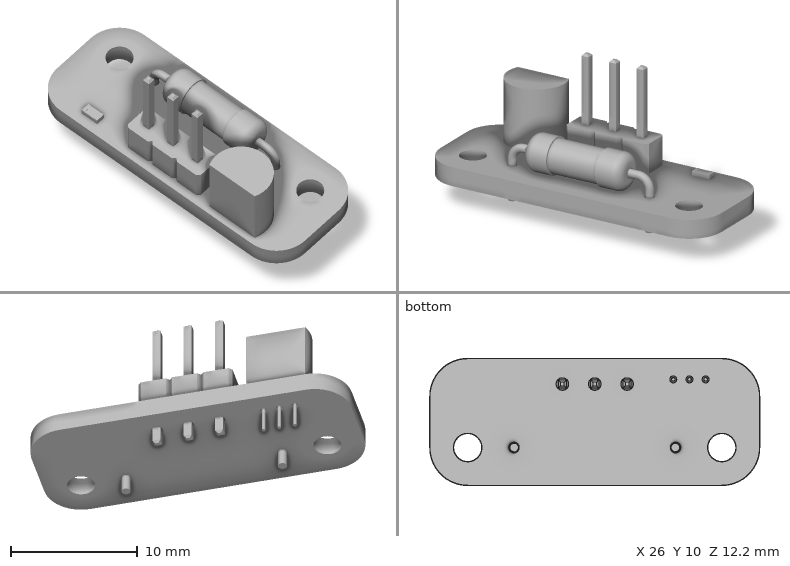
import cadquery as cq
import math


BOARD_LENGTH = 26.0
BOARD_WIDTH = 10.0
BOARD_THICKNESS = 1.6
CORNER_RADIUS = 3.0
MOUNT_HOLE_DIAMETER = 2.2
MOUNT_HOLE_X = BOARD_LENGTH / 2 - CORNER_RADIUS
MOUNT_HOLE_Y = BOARD_WIDTH / 2 - CORNER_RADIUS

TAIL_DEPTH = 3.0

RESISTOR_Y = MOUNT_HOLE_Y
RESISTOR_LENGTH = 9.0
RESISTOR_CAP_DIAMETER = 3.2
RESISTOR_CAP_LENGTH = RESISTOR_LENGTH / 4
RESISTOR_CAP_ROUND = 0.78
RESISTOR_BARREL_DIAMETER = 2.89
RESISTOR_AXIS_Z = RESISTOR_CAP_DIAMETER / 2
RESISTOR_LEAD_DIAMETER = 0.7
RESISTOR_LEAD_SPACING = 12.71
RESISTOR_LEAD_BEND = 1.05
RESISTOR_HOLE_DIAMETER = 0.8

PIN_COUNT = 3
PIN_PITCH = 2.55
HEADER_Y = -3.0
HOUSING_WIDTH = PIN_PITCH
HOUSING_HEIGHT = PIN_PITCH
HOUSING_CHAMFER = 0.25
PIN_SIDE = 0.65
PIN_TIP_CHAMFER = 0.18
PIN_TOP_Z = 8.55
PIN_HOLE_DIAMETER = 1.0
PIN_XS = [(i - (PIN_COUNT - 1) / 2) * PIN_PITCH for i in range(PIN_COUNT)]

TRANSISTOR_X = 7.45
TRANSISTOR_Y = -3.35
TRANSISTOR_DIAMETER = 5.2
TRANSISTOR_FLAT_OFFSET = 1.07
TRANSISTOR_HEIGHT = 5.33
TRANSISTOR_LEAD_COUNT = 3
TRANSISTOR_LEAD_PITCH = PIN_PITCH / 2
TRANSISTOR_LEAD_DIAMETER = 0.29
TRANSISTOR_LEAD_DEPTH = 3.65
TRANSISTOR_HOLE_DIAMETER = 0.55
TRANSISTOR_LEAD_POINTS = [
    (TRANSISTOR_X + (i - (TRANSISTOR_LEAD_COUNT - 1) / 2) * TRANSISTOR_LEAD_PITCH, TRANSISTOR_Y)
    for i in range(TRANSISTOR_LEAD_COUNT)
]

CHIP_X = -7.77
CHIP_Y = -3.72
CHIP_LENGTH = 1.6
CHIP_WIDTH = 0.8
CHIP_HEIGHT = 0.45
CHIP_TERMINAL_LENGTH = 0.3
CHIP_TERMINAL_STEP = 0.03


def drill(body, points, diameter):
    """Cut round holes straight through the board thickness at the given points."""
    holes = (
        cq.Workplane("XY")
        .pushPoints(points)
        .circle(diameter / 2)
        .extrude(-BOARD_THICKNESS)
    )
    return body.cut(holes)


def make_board():
    board = (
        cq.Workplane("XY")
        .rect(BOARD_LENGTH, BOARD_WIDTH)
        .extrude(-BOARD_THICKNESS)
        .edges("|Z")
        .fillet(CORNER_RADIUS)
    )
    board = drill(board, [(side * MOUNT_HOLE_X, MOUNT_HOLE_Y) for side in (-1, 1)], MOUNT_HOLE_DIAMETER)
    lead_points = [(side * RESISTOR_LEAD_SPACING / 2, RESISTOR_Y) for side in (-1, 1)]
    board = drill(board, lead_points, RESISTOR_HOLE_DIAMETER)
    board = drill(board, [(x, HEADER_Y) for x in PIN_XS], PIN_HOLE_DIAMETER)
    return drill(board, TRANSISTOR_LEAD_POINTS, TRANSISTOR_HOLE_DIAMETER)


def make_resistor_profile():
    """Half outline of the barrel and its end caps, to be revolved about the resistor's axis."""
    end_x = RESISTOR_LENGTH / 2
    cap_x = end_x - RESISTOR_CAP_LENGTH
    round_x = end_x - RESISTOR_CAP_ROUND
    cap_radius = RESISTOR_CAP_DIAMETER / 2
    barrel_radius = RESISTOR_BARREL_DIAMETER / 2
    face_radius = cap_radius - RESISTOR_CAP_ROUND
    arc_reach = RESISTOR_CAP_ROUND * math.sqrt(0.5)
    arc_mid_x = round_x + arc_reach
    arc_mid_radius = face_radius + arc_reach
    return (
        cq.Workplane("XZ", origin=(0, RESISTOR_Y, RESISTOR_AXIS_Z))
        .moveTo(-end_x, 0)
        .lineTo(-end_x, face_radius)
        .threePointArc((-arc_mid_x, arc_mid_radius), (-round_x, cap_radius))
        .lineTo(-cap_x, cap_radius)
        .lineTo(-cap_x, barrel_radius)
        .lineTo(cap_x, barrel_radius)
        .lineTo(cap_x, cap_radius)
        .lineTo(round_x, cap_radius)
        .threePointArc((arc_mid_x, arc_mid_radius), (end_x, face_radius))
        .lineTo(end_x, 0)
        .close()
    )


def make_resistor_lead(side):
    """Wire from the end face of the resistor (side -1 or 1) that bends down through the board."""
    foot_x = RESISTOR_LEAD_SPACING / 2
    bend_x = foot_x - RESISTOR_LEAD_BEND
    bend_z = RESISTOR_AXIS_Z - RESISTOR_LEAD_BEND
    arc_reach = RESISTOR_LEAD_BEND * math.sqrt(0.5)
    path = (
        cq.Workplane("XZ", origin=(0, RESISTOR_Y, 0))
        .moveTo(side * foot_x, -TAIL_DEPTH)
        .lineTo(side * foot_x, bend_z)
        .threePointArc((side * (bend_x + arc_reach), bend_z + arc_reach), (side * bend_x, RESISTOR_AXIS_Z))
        .lineTo(side * RESISTOR_LENGTH / 2, RESISTOR_AXIS_Z)
    )
    return (
        cq.Workplane("XY", origin=(side * foot_x, RESISTOR_Y, -TAIL_DEPTH))
        .circle(RESISTOR_LEAD_DIAMETER / 2)
        .sweep(path)
    )


def make_resistor():
    resistor = make_resistor_profile().revolve(360, (0, 0, 0), (1, 0, 0))
    for side in (-1, 1):
        resistor = resistor.union(make_resistor_lead(side))
    return resistor


def make_pin(x):
    """Square header pin with both tips chamfered."""
    return (
        cq.Workplane("XY", origin=(x, HEADER_Y, -TAIL_DEPTH))
        .rect(PIN_SIDE, PIN_SIDE)
        .extrude(TAIL_DEPTH + PIN_TOP_Z)
        .faces("<Z or >Z")
        .edges()
        .chamfer(PIN_TIP_CHAMFER)
    )


def make_pin_housing():
    """Row of chamfered square cells, with a square hole through each for its pin."""
    housing = (
        cq.Workplane("XY", origin=(0, HEADER_Y, 0))
        .rect(PIN_COUNT * PIN_PITCH, HOUSING_WIDTH)
        .extrude(HOUSING_HEIGHT)
        .edges("|Z")
        .chamfer(HOUSING_CHAMFER)
    )
    notch_points = [
        (x + PIN_PITCH / 2, HEADER_Y + side * HOUSING_WIDTH / 2)
        for x in PIN_XS[:-1]
        for side in (-1, 1)
    ]
    notches = (
        cq.Workplane("XY")
        .pushPoints(notch_points)
        .polygon(4, 2 * HOUSING_CHAMFER)
        .extrude(HOUSING_HEIGHT)
    )
    pin_holes = (
        cq.Workplane("XY")
        .pushPoints([(x, HEADER_Y) for x in PIN_XS])
        .rect(PIN_SIDE, PIN_SIDE)
        .extrude(HOUSING_HEIGHT)
    )
    return housing.cut(notches).cut(pin_holes)


def make_transistor():
    """D-shaped case standing on the board, with its leads passing through the board."""
    radius = TRANSISTOR_DIAMETER / 2
    flat_half_width = math.sqrt(radius**2 - TRANSISTOR_FLAT_OFFSET**2)
    case = (
        cq.Workplane("XY", origin=(TRANSISTOR_X, TRANSISTOR_Y, 0))
        .moveTo(-flat_half_width, -TRANSISTOR_FLAT_OFFSET)
        .threePointArc((0, radius), (flat_half_width, -TRANSISTOR_FLAT_OFFSET))
        .close()
        .extrude(TRANSISTOR_HEIGHT)
    )
    leads = (
        cq.Workplane("XY")
        .pushPoints(TRANSISTOR_LEAD_POINTS)
        .circle(TRANSISTOR_LEAD_DIAMETER / 2)
        .extrude(-TRANSISTOR_LEAD_DEPTH)
    )
    return case.union(leads)


def make_chip():
    """Flat block whose end terminals stand slightly proud of its middle, above and below."""
    middle = (
        cq.Workplane("XY", origin=(CHIP_X, CHIP_Y, CHIP_TERMINAL_STEP))
        .rect(CHIP_LENGTH - 2 * CHIP_TERMINAL_LENGTH, CHIP_WIDTH)
        .extrude(CHIP_HEIGHT - 2 * CHIP_TERMINAL_STEP)
    )
    terminal_offset = (CHIP_LENGTH - CHIP_TERMINAL_LENGTH) / 2
    terminals = (
        cq.Workplane("XY", origin=(CHIP_X, CHIP_Y, 0))
        .pushPoints([(-terminal_offset, 0), (terminal_offset, 0)])
        .rect(CHIP_TERMINAL_LENGTH, CHIP_WIDTH)
        .extrude(CHIP_HEIGHT)
    )
    return middle.union(terminals)


board = make_board()
resistor = make_resistor()
pin_housing = make_pin_housing()
pins = [make_pin(x) for x in PIN_XS]
transistor = make_transistor()
chip = make_chip()

result = cq.Compound.makeCompound(
    [
        board.val(),
        resistor.val(),
        pin_housing.val(),
        *[pin.val() for pin in pins],
        transistor.val(),
        chip.val(),
    ]
)